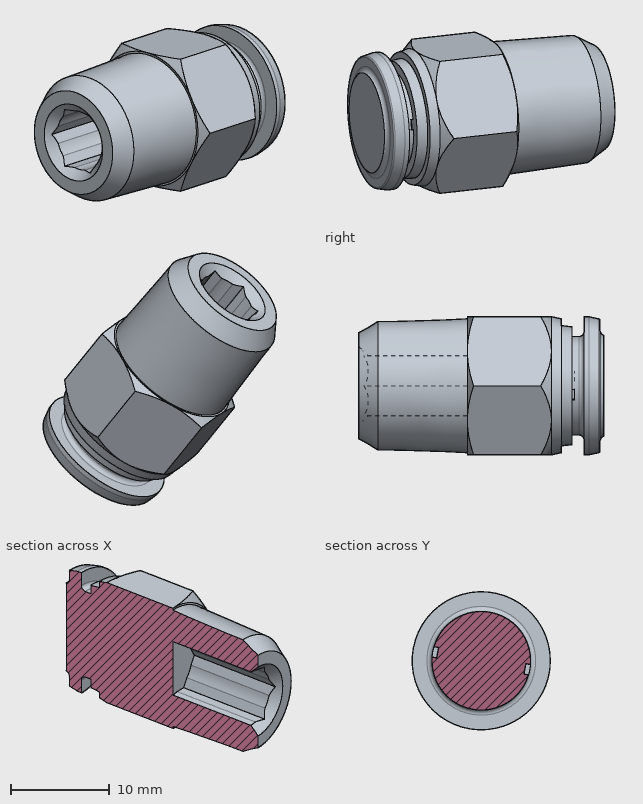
import cadquery as cq
import math


HEX_SIDES = 6
CORNER_TO_FLAT = 1 / math.cos(math.pi / HEX_SIDES)

lead_in_end = 1.95
nut_start = 11.0
nut_end = 19.5
shoulder_end = 20.5
ring_end = 21.6
flange_start = 22.8
flange_rim_end = 23.3
flange_end = 24.4
total_length = 24.8

thread_root_radius = 6.79
thread_taper = 1 / 32
lead_in_angle = 30
thread_tip_radius = thread_root_radius - (nut_start - lead_in_end) * thread_taper
lead_in_radius = thread_tip_radius - lead_in_end * math.tan(math.radians(lead_in_angle))

nut_across_flats = 14.0
nut_inscribed_radius = nut_across_flats / 2
nut_corner_radius = nut_inscribed_radius * CORNER_TO_FLAT
corner_run = nut_corner_radius - nut_inscribed_radius
thread_side_chamfer_angle = 30
collar_side_chamfer_angle = 45
thread_side_chamfer = corner_run * math.tan(math.radians(thread_side_chamfer_angle))
collar_side_chamfer = corner_run * math.tan(math.radians(collar_side_chamfer_angle))

shoulder_radius = nut_inscribed_radius
shoulder_top_radius = 6.78
ring_radius = 6.1
ring_top_radius = 5.97

neck_radius = 5.0
neck_fillet = 0.5
flange_radius = 7.0
flange_top_radius = 6.75
flange_edge_fillet = 0.15
crown_radius = 5.1
crown_width = 0.6

slit_width = 1.05
slit_depth = 0.5
slit_end = 21.85
slit_angle = 10.5

socket_across_flats = 6.0
socket_bore_diameter = 6.15
socket_mouth_diameter = 8.0
socket_depth = nut_start
socket_mouth_angle = 45


def hex_prism(across_flats, start, length):
    """Hexagonal prism along +Y with two corners on the X axis."""
    corner_diameter = across_flats * CORNER_TO_FLAT
    plane = cq.Workplane("XZ", origin=(0, start, 0))
    return plane.polygon(HEX_SIDES, corner_diameter).extrude(-length)


def revolve_about_y(profile):
    """Full revolution of a closed radius/Y profile drawn in the XY plane."""
    return profile.close().revolve(360, (0, 0, 0), (0, 1, 0))


def make_thread():
    return revolve_about_y(
        cq.Workplane("XY")
        .moveTo(0, 0)
        .lineTo(lead_in_radius, 0)
        .lineTo(thread_tip_radius, lead_in_end)
        .lineTo(thread_root_radius, nut_start)
        .lineTo(0, nut_start)
    )


def make_nut():
    blank = hex_prism(nut_across_flats, nut_start, nut_end - nut_start)
    chamfer_envelope = revolve_about_y(
        cq.Workplane("XY")
        .moveTo(0, nut_start)
        .lineTo(nut_inscribed_radius, nut_start)
        .lineTo(nut_corner_radius, nut_start + thread_side_chamfer)
        .lineTo(nut_corner_radius, nut_end - collar_side_chamfer)
        .lineTo(nut_inscribed_radius, nut_end)
        .lineTo(0, nut_end)
    )
    return blank.intersect(chamfer_envelope)


def make_shoulder_and_ring():
    return revolve_about_y(
        cq.Workplane("XY")
        .moveTo(0, nut_end)
        .lineTo(shoulder_radius, nut_end)
        .lineTo(shoulder_top_radius, shoulder_end)
        .lineTo(ring_radius, shoulder_end)
        .lineTo(ring_top_radius, ring_end)
        .lineTo(0, ring_end)
    )


def make_collar():
    crown_height = total_length - flange_end
    crown_arc_radius = (crown_height**2 + crown_width**2) / (2 * crown_height)
    crown_foot_radius = crown_radius + crown_width
    half_sweep = math.asin(crown_width / crown_arc_radius) / 2
    crown_arc_mid = (
        crown_foot_radius - crown_arc_radius * math.sin(half_sweep),
        flange_end + crown_arc_radius * (1 - math.cos(half_sweep)),
    )
    neck_arc_inset = neck_fillet * (1 - math.sqrt(0.5))
    neck_arc_mid = (neck_radius + neck_arc_inset, flange_start - neck_arc_inset)

    collar = revolve_about_y(
        cq.Workplane("XY")
        .moveTo(0, ring_end)
        .lineTo(neck_radius, ring_end)
        .lineTo(neck_radius, flange_start - neck_fillet)
        .threePointArc(neck_arc_mid, (neck_radius + neck_fillet, flange_start))
        .lineTo(flange_radius, flange_start)
        .lineTo(flange_radius, flange_rim_end)
        .lineTo(flange_top_radius, flange_end)
        .lineTo(crown_foot_radius, flange_end)
        .threePointArc(crown_arc_mid, (crown_radius, total_length))
        .lineTo(0, total_length)
    )
    flange_edge_zone = cq.selectors.BoxSelector(
        (-nut_corner_radius, flange_end - flange_edge_fillet, -nut_corner_radius),
        (nut_corner_radius, flange_end + flange_edge_fillet, nut_corner_radius),
        boundingbox=True,
    )
    flange_edge = collar.edges(flange_edge_zone).edges(
        cq.selectors.RadiusNthSelector(-1)
    )
    return collar.newObject(flange_edge.vals()).fillet(flange_edge_fillet)


def make_slits():
    """Blocks that cut a shallow slit into each side of the collar neck."""
    slits = cq.Workplane("XY")
    for side in (-1, 1):
        slit = (
            cq.Workplane("XY")
            .box(2 * slit_depth, slit_end - ring_end, slit_width)
            .translate((side * neck_radius, (ring_end + slit_end) / 2, 0))
        )
        slits = slits.add(slit)
    return slits.combine().rotate((0, 0, 0), (0, 1, 0), slit_angle)


def make_socket():
    mouth_radius = socket_mouth_diameter / 2
    mouth_depth = mouth_radius / math.tan(math.radians(socket_mouth_angle))
    mouth = revolve_about_y(
        cq.Workplane("XY").moveTo(0, 0).lineTo(mouth_radius, 0).lineTo(0, mouth_depth)
    )
    bore = cq.Workplane("XZ").circle(socket_bore_diameter / 2).extrude(-socket_depth)
    return hex_prism(socket_across_flats, 0, socket_depth).union(bore).union(mouth)


body = make_thread().union(make_nut()).union(make_shoulder_and_ring())
collar = make_collar().cut(make_slits())
result = body.union(collar).cut(make_socket())